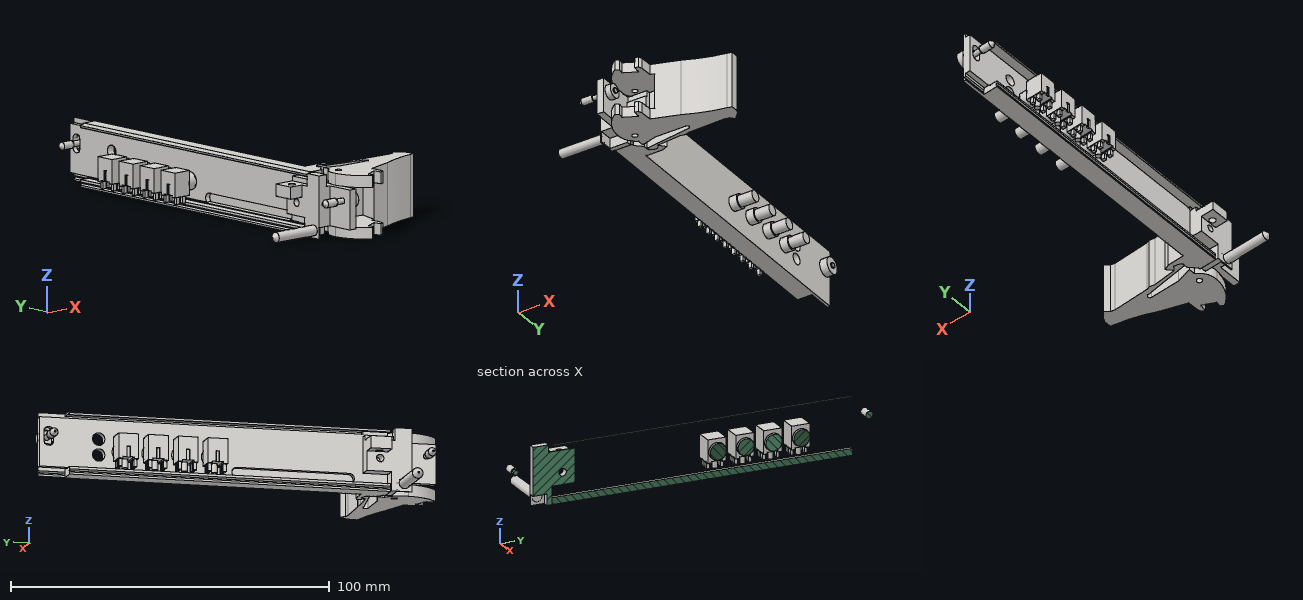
import cadquery as cq

TOTAL_LENGTH = 130.5
TOTAL_HEIGHT = 20.4

SKIN_THICKNESS = 1.11
PLATE_BACK = -2.9
PLATE_BOTTOM = 2.9
PLATE_TOP = 18.7
RAIL_START = 17.6
RAIL_END = 121.8
FLANGE_BACK = -6.5
FLANGE_TOP_FLAT = -5.1
TOP_FLANGE_BOTTOM = 19.6
TOP_FLANGE_EDGE = 19.7
LIP_FRONT = -5.9
LIP_BOTTOM = 19.0
PLATE_LEDGE_HEIGHT = 0.3
PLATE_LEDGE_BACK = -3.4
BOTTOM_FLANGE_TOP = 2.5
GROOVE_TOP = 1.7
GROOVE_BOTTOM = 0.7
GROOVE_DEPTH = 0.5
LAMP_HOLE_RADIUS = 2.0
LAMP_HOLE_Y = 111.3
LAMP_HOLE_HEIGHTS = (7.5, 12.5)
POCKET_START = 28.5
POCKET_END = 68.1
POCKET_Z = 4.2
POCKET_WIDTH = 3.4
LUG_END = 25.6
LUG_SKIN_CORNER = (0, 18.4)
LUG_LOWER_CORNER = (2.5, 20.8)

SCREW_Z = 12.7
SCREW_RADIUS = 1.3
SCREW_NECK_RADIUS = 0.9
SCREW_TIP_RADIUS = 0.3
SCREW_TIP_LENGTH = 1.5
SCREW_BARREL_LENGTH = 4.0
SCREW_HEAD_LENGTH = 2.7
SCREW_STUD_LENGTH = 0.4
PANEL_SCREW_HEAD_RADIUS = 3.0
PANEL_SCREW_Y = TOTAL_LENGTH - PANEL_SCREW_HEAD_RADIUS
SCREW_SHANK_LENGTH = 10.6
SCREW_SLOT_WIDTH = 3.1
SCREW_SLOT_LENGTH = 6.0
SCREW_WINDOW_LENGTH = 4.3

CONNECTOR_COUNT = 4
CONNECTOR_PITCH = 9.7
CONNECTOR_FIRST_Y = 104.1
CONNECTOR_YS = [CONNECTOR_FIRST_Y - i * CONNECTOR_PITCH for i in range(CONNECTOR_COUNT)]
CONNECTOR_AXIS_Z = 8.6
CASE_BACK = -12.4
CASE_FRONT = -6.1
CASE_WIDTH = 6.4
CASE_BOTTOM = 4.8
CASE_TOP = 12.8
NUT_RADIUS = 2.9
BUSHING_RADIUS = 2.5
BUSHING_END = 2.9
PLUG_RADIUS = 2.0
PLUG_END = 8.4
LEG_WIDTH = 1.0
LEG_DEPTH = 1.3
LEG_BOTTOM = 2.5
LEG_INSET = 0.3
LEG_BACKS = (-11.5, -8.9)
CENTRE_PIN_RADIUS = 0.9
CASE_CHANNEL_WIDTH = 3.7
CASE_CHANNEL_HEIGHT = 0.5
CASE_SLOT_WIDTH = 1.0
CASE_SLOT_TOP = 8.7
CASE_SLOT_DEPTH = 0.5

CHEEK_THICKNESS = 3.8
CHEEK_TOP_START = TOTAL_HEIGHT - CHEEK_THICKNESS
BASE_BACK = -7.6
BASE_START = 11.0
BASE_TALL_END = 16.5
BASE_TALL_FRONT = -4.3
BASE_ARM_BOTTOM = 6.1
FOOT_FRONT = -0.7
FOOT_START = 15.8
PIN_PLATE_FRONT = -7.2
STOP_FRONT = 6.8
STOP_START = 15.7
PAD_HEIGHT = 0.5
PAD_BOTTOM = 7.6
PAD_TOP = 14.4
LEVER_BACK = 2.6
LEVER_JAW_Y = 19.7
LEDGE_BACK = -5.4
LEDGE_START = 15.8
LEDGE_TOP = 17.9
TONGUE_FRONT = -0.33
TONGUE_START = 1.8
EAR_START = 18.8
EAR_BOTTOM = 12.4
EAR_TOP = 16.3
EAR_HOLE_X = -9.0
EAR_HOLE_Y = 21.9
EAR_HOLE_RADIUS = 1.11
BASE_HOLE_Y = 21.3
BASE_HOLE_Z = 10.3
BASE_HOLE_RADIUS = 1.2
GUIDE_PIN_TIP = -25.3
GUIDE_PIN_TIP_LENGTH = 1.5
GUIDE_PIN_RADIUS = 1.7
GUIDE_PIN_TIP_RADIUS = 0.3
GUIDE_PIN_Y = 13.5
GUIDE_PIN_Z = 2.6
HANDLE_SCREW_Y = 5.1
HANDLE_SCREW_HEAD_RADIUS = 2.5
HANDLE_SCREW_SEAT = -1.0
PIVOT_X = 3.5
PIVOT_Y = 13.8
PIVOT_RADIUS = 0.98


def block(x_range, y_range, z_range):
    """Box between two limits along each axis."""
    sizes = [high - low for low, high in (x_range, y_range, z_range)]
    corner = (x_range[0], y_range[0], z_range[0])
    return cq.Workplane("XY").box(*sizes, centered=False).translate(corner)


def rod(x_start, x_end, radius, y, z):
    """Cylinder along X."""
    return cq.Workplane("YZ", origin=(x_start, y, z)).circle(radius).extrude(x_end - x_start)


def turned(outline, y, z):
    """Body turned about an X-parallel axis from (x, radius) points."""
    profile = cq.Workplane("XY").polyline(outline).close()
    return profile.revolve(360, (0, 0, 0), (1, 0, 0)).translate((0, y, z))


def extruded_along_y(outline, y_start, y_end):
    """Prism along Y from (x, z) points."""
    plane = cq.Workplane("XZ", origin=(0, y_start, 0))
    return plane.polyline(outline).close().extrude(y_start - y_end)


def captive_screw(seat_x, y, head_radius):
    """Pointed screw whose head bears on the plane x = seat_x."""
    tip_x = seat_x - SCREW_SHANK_LENGTH
    barrel_start = tip_x + SCREW_TIP_LENGTH
    barrel_end = barrel_start + SCREW_BARREL_LENGTH
    head_end = seat_x + SCREW_HEAD_LENGTH
    stud_end = head_end + SCREW_STUD_LENGTH
    outline = [
        (tip_x, 0),
        (tip_x, SCREW_TIP_RADIUS),
        (barrel_start, SCREW_RADIUS),
        (barrel_end, SCREW_RADIUS),
        (barrel_end, SCREW_NECK_RADIUS),
        (seat_x, SCREW_NECK_RADIUS),
        (seat_x, head_radius),
        (head_end, head_radius),
        (head_end, SCREW_NECK_RADIUS),
        (stud_end, SCREW_NECK_RADIUS),
        (stud_end, 0),
    ]
    return turned(outline, y, SCREW_Z)


def lever_outline():
    """Lever profile; its long slot frees a springy latch arm."""
    return (
        cq.Workplane("XY")
        .moveTo(LEVER_BACK, 17.2)
        .threePointArc((0.1, 14.9), (-0.9, 10.5))
        .threePointArc((1.0, 4.2), (5.1, 0))
        .lineTo(6.3, 0.9)
        .lineTo(6.0, 2.7)
        .lineTo(10.6, 5.1)
        .lineTo(11.0, 2.3)
        .lineTo(12.1, 2.7)
        .lineTo(12.7, 3.9)
        .lineTo(12.8, 8.4)
        .lineTo(22.3, 11.6)
        .threePointArc((29.6, 14.5), (36.5, 16.2))
        .lineTo(38.2, 16.6)
        .lineTo(38.2, 19.3)
        .lineTo(37.6, 20.6)
        .lineTo(35.4, 23.1)
        .lineTo(33.8, 21.7)
        .lineTo(32.1, 21.3)
        .lineTo(18.5, 21.7)
        .lineTo(17.2, 22.0)
        .lineTo(15.3, 21.7)
        .lineTo(6.5, 22.5)
        .lineTo(5.4, 24.0)
        .threePointArc((3.9, 23.8), (LEVER_BACK, 23.1))
        .lineTo(LEVER_BACK, 22.0)
        .lineTo(19.8, 19.6)
        .threePointArc((20.6, 18.8), (19.8, 18.0))
        .lineTo(8.5, 18.0)
        .lineTo(LEVER_BACK, LEVER_JAW_Y)
        .close()
    )


def make_lever():
    """Lever hollowed between two cheeks around the tongue, with a pivot hole."""
    lever = lever_outline().extrude(TOTAL_HEIGHT)
    gap_outline = [
        (-1.3, -1.3),
        (14.1, -1.3),
        (14.1, 8.7),
        (16.0, 16.0),
        (STOP_FRONT, 17.2),
        (STOP_FRONT, STOP_START),
        (-1.3, STOP_START),
    ]
    gap = (
        cq.Workplane("XY", origin=(0, 0, CHEEK_THICKNESS))
        .polyline(gap_outline)
        .close()
        .extrude(CHEEK_TOP_START - CHEEK_THICKNESS)
    )
    pivot_hole = (
        cq.Workplane("XY").center(PIVOT_X, PIVOT_Y).circle(PIVOT_RADIUS).extrude(TOTAL_HEIGHT)
    )
    return lever.cut(gap).cut(pivot_hole)


def make_stop():
    """Wall from the tongue into the lever, with a raised pad on its front."""
    outline = [
        (TONGUE_FRONT, STOP_START),
        (LEVER_BACK, STOP_START),
        (LEVER_BACK, LEVER_JAW_Y),
        LUG_LOWER_CORNER,
        LUG_SKIN_CORNER,
        (0, RAIL_START),
        (TONGUE_FRONT, RAIL_START),
    ]
    wall = (
        cq.Workplane("XY", origin=(0, 0, CHEEK_THICKNESS))
        .polyline(outline)
        .close()
        .extrude(CHEEK_TOP_START - CHEEK_THICKNESS)
    )
    pad = block(
        (TONGUE_FRONT, STOP_FRONT), (STOP_START - PAD_HEIGHT, STOP_START), (PAD_BOTTOM, PAD_TOP)
    )
    return wall.union(pad)


def make_handle_base():
    """Block that clamps the panel end, with a tongue for the screw and a drilled ear."""
    tall = block((BASE_BACK, BASE_TALL_FRONT), (BASE_START, BASE_TALL_END), (0, TOTAL_HEIGHT))
    core = block((BASE_BACK, PLATE_BACK), (BASE_START, BASE_TALL_END), (0, CHEEK_TOP_START))
    foot = block((BASE_BACK, FOOT_FRONT), (FOOT_START, RAIL_START), (0, CHEEK_THICKNESS))
    undercut = block((PIN_PLATE_FRONT, PLATE_BACK), (BASE_START, FOOT_START), (0, CHEEK_THICKNESS))
    neck = block((BASE_BACK, PLATE_BACK), (BASE_START, RAIL_START), (0, EAR_TOP))
    arm = block((BASE_BACK, PLATE_BACK), (BASE_START, LUG_END), (BASE_ARM_BOTTOM, EAR_TOP))
    ledge = block((LEDGE_BACK, PLATE_BACK), (LEDGE_START, LUG_END), (EAR_TOP, LEDGE_TOP))
    tongue = block(
        (PLATE_BACK, TONGUE_FRONT), (TONGUE_START, RAIL_START), (CHEEK_THICKNESS, CHEEK_TOP_START)
    )
    ear = block((CASE_BACK, BASE_BACK), (EAR_START, LUG_END), (EAR_BOTTOM, EAR_TOP))
    ear_hole = (
        cq.Workplane("XY", origin=(EAR_HOLE_X, EAR_HOLE_Y, EAR_BOTTOM))
        .circle(EAR_HOLE_RADIUS)
        .extrude(EAR_TOP - EAR_BOTTOM)
    )
    base_hole = rod(BASE_BACK, PLATE_BACK, BASE_HOLE_RADIUS, BASE_HOLE_Y, BASE_HOLE_Z)
    base = tall
    for piece in (core, foot, neck, arm, ledge, tongue, make_stop(), ear):
        base = base.union(piece)
    return base.cut(undercut).cut(ear_hole).cut(base_hole)


def make_guide_pin():
    outline = [
        (GUIDE_PIN_TIP, 0),
        (GUIDE_PIN_TIP, GUIDE_PIN_TIP_RADIUS),
        (GUIDE_PIN_TIP + GUIDE_PIN_TIP_LENGTH, GUIDE_PIN_RADIUS),
        (BASE_BACK, GUIDE_PIN_RADIUS),
        (BASE_BACK, 0),
    ]
    return turned(outline, GUIDE_PIN_Y, GUIDE_PIN_Z)


def make_handle():
    screw = captive_screw(HANDLE_SCREW_SEAT, HANDLE_SCREW_Y, HANDLE_SCREW_HEAD_RADIUS)
    return make_handle_base().union(make_lever()).union(make_guide_pin()).union(screw)


def make_top_flange():
    outline = [
        (0, TOP_FLANGE_BOTTOM),
        (LIP_FRONT, TOP_FLANGE_BOTTOM),
        (LIP_FRONT, LIP_BOTTOM),
        (FLANGE_BACK, LIP_BOTTOM),
        (FLANGE_BACK, TOP_FLANGE_EDGE),
        (FLANGE_TOP_FLAT, TOTAL_HEIGHT),
        (0, TOTAL_HEIGHT),
    ]
    return extruded_along_y(outline, RAIL_START, RAIL_END)


def make_bottom_bar(back, y_start, y_end):
    """Bar along the underside with a V groove in its back face."""
    outline = [
        (0, 0),
        (back, 0),
        (back, GROOVE_BOTTOM),
        (back + GROOVE_DEPTH, (GROOVE_BOTTOM + GROOVE_TOP) / 2),
        (back, GROOVE_TOP),
        (back, BOTTOM_FLANGE_TOP),
        (0, BOTTOM_FLANGE_TOP),
    ]
    return extruded_along_y(outline, y_start, y_end)


def make_latch_lug():
    """Hooked lug that holds the latch arm."""
    outline = [
        (PLATE_BACK, RAIL_START),
        (0, RAIL_START),
        LUG_SKIN_CORNER,
        LUG_LOWER_CORNER,
        (2.5, 22.6),
        (6.5, 22.6),
        (8.4, 24.7),
        (6.3, LUG_END),
        (PLATE_BACK, LUG_END),
    ]
    return cq.Workplane("XY").polyline(outline).close().extrude(TOTAL_HEIGHT)


def make_screw_slot():
    """Rounded slot through the plate, then a rectangular window through the skin."""
    slot = (
        cq.Workplane("YZ", origin=(PLATE_BACK, PANEL_SCREW_Y, SCREW_Z))
        .slot2D(SCREW_SLOT_LENGTH, SCREW_SLOT_WIDTH, 90)
        .extrude(-PLATE_BACK - SKIN_THICKNESS)
    )
    window = (
        cq.Workplane("YZ", origin=(-SKIN_THICKNESS, PANEL_SCREW_Y, SCREW_Z))
        .rect(SCREW_SLOT_WIDTH, SCREW_WINDOW_LENGTH)
        .extrude(SKIN_THICKNESS)
    )
    return slot.union(window)


def make_plate_pocket():
    """Long round-ended pocket through the plate down to the skin."""
    middle = (POCKET_START + POCKET_END) / 2
    return (
        cq.Workplane("YZ", origin=(PLATE_BACK, middle, POCKET_Z))
        .slot2D(POCKET_END - POCKET_START, POCKET_WIDTH)
        .extrude(-PLATE_BACK - SKIN_THICKNESS)
    )


def make_panel():
    skin = block(
        (-SKIN_THICKNESS, 0), (RAIL_START, TOTAL_LENGTH), (BOTTOM_FLANGE_TOP, TOTAL_HEIGHT)
    )
    plate = block(
        (PLATE_BACK, -SKIN_THICKNESS), (RAIL_START, TOTAL_LENGTH), (PLATE_BOTTOM, PLATE_TOP)
    )
    panel = skin.union(plate).cut(make_plate_pocket())
    panel = panel.union(make_top_flange())
    panel = panel.union(make_bottom_bar(FLANGE_BACK, RAIL_START, RAIL_END))
    panel = panel.union(make_bottom_bar(-SKIN_THICKNESS, RAIL_END, TOTAL_LENGTH))
    plate_ledge = block(
        (PLATE_LEDGE_BACK, 0),
        (RAIL_START, RAIL_END),
        (BOTTOM_FLANGE_TOP, BOTTOM_FLANGE_TOP + PLATE_LEDGE_HEIGHT),
    )
    panel = panel.union(plate_ledge)
    panel = panel.union(make_latch_lug()).cut(lever_outline().extrude(TOTAL_HEIGHT))
    for z in LAMP_HOLE_HEIGHTS:
        panel = panel.cut(rod(PLATE_BACK, 0, LAMP_HOLE_RADIUS, LAMP_HOLE_Y, z))
    for y in CONNECTOR_YS:
        panel = panel.cut(rod(PLATE_BACK, 0, BUSHING_RADIUS, y, CONNECTOR_AXIS_Z))
    panel = panel.cut(make_screw_slot())
    return panel.union(captive_screw(0, PANEL_SCREW_Y, PANEL_SCREW_HEAD_RADIUS))


def make_connector(y):
    """Square case on legs, with a nut, a bushing through the panel and a plug socket."""
    half_width = CASE_WIDTH / 2
    connector = block(
        (CASE_BACK, CASE_FRONT), (y - half_width, y + half_width), (CASE_BOTTOM, CASE_TOP)
    )
    channel_top = CASE_BOTTOM + CASE_CHANNEL_HEIGHT
    channel_half = CASE_CHANNEL_WIDTH / 2
    channel = block(
        (CASE_BACK, CASE_FRONT), (y - channel_half, y + channel_half), (CASE_BOTTOM, channel_top)
    )
    slot_half = CASE_SLOT_WIDTH / 2
    slot = block(
        (CASE_BACK, CASE_BACK + CASE_SLOT_DEPTH),
        (y - slot_half, y + slot_half),
        (CASE_BOTTOM, CASE_SLOT_TOP),
    )
    connector = connector.cut(channel).cut(slot)
    leg_offset = half_width - LEG_INSET - LEG_WIDTH
    leg_heights = (LEG_BOTTOM, channel_top)
    for leg_back in LEG_BACKS:
        leg_x = (leg_back, leg_back + LEG_DEPTH)
        for leg_y in (y - leg_offset - LEG_WIDTH, y + leg_offset):
            connector = connector.union(block(leg_x, (leg_y, leg_y + LEG_WIDTH), leg_heights))
    centre_pin = (
        cq.Workplane("XY", origin=(LEG_BACKS[1] + CENTRE_PIN_RADIUS, y, LEG_BOTTOM))
        .circle(CENTRE_PIN_RADIUS)
        .extrude(channel_top - LEG_BOTTOM)
    )
    nut = rod(CASE_FRONT, PLATE_BACK, NUT_RADIUS, y, CONNECTOR_AXIS_Z)
    bushing = rod(PLATE_BACK, BUSHING_END, BUSHING_RADIUS, y, CONNECTOR_AXIS_Z)
    plug = rod(BUSHING_END, PLUG_END, PLUG_RADIUS, y, CONNECTOR_AXIS_Z)
    return connector.union(centre_pin).union(nut).union(bushing).union(plug)


handle = make_handle()
panel = make_panel()
connectors = [make_connector(y) for y in CONNECTOR_YS]

result = cq.Compound.makeCompound(
    [handle.val(), panel.val(), *[connector.val() for connector in connectors]]
)